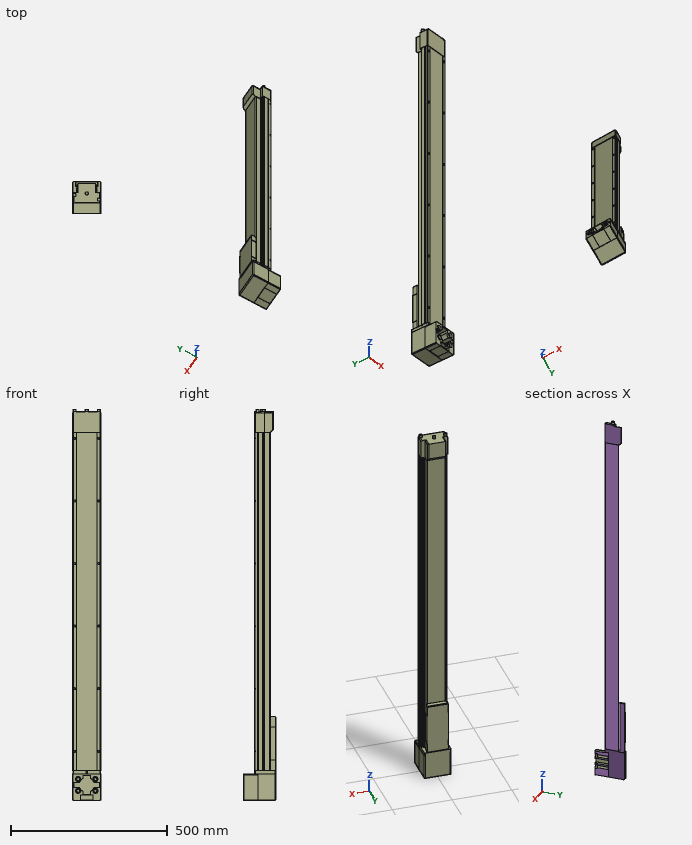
import cadquery as cq

overall_width = 90.0
overall_height = 1248.0
half_width = overall_width / 2
edge_chamfer = 2.0

head_block_top = 85.0
head_top = 96.0
beam_top = 1174.0
cap_top = 1240.0

mount_front = -35.0
seam_y = 11.0
head_back = 69.0
step_y = 32.0

shoulder_y = 25.0
ledge_count = 2
beam_rear_half = 32.0
beam_side_back = 47.0
beam_back = 51.0
beam_front_chamfer = 1.9
beam_rear_chamfer = beam_back - beam_side_back
cover_half = 32.0
cover_recess = 1.0
side_groove_depth = 1.0
side_groove_width = 2.0
strip_hole_diameter = 6.0
strip_hole_depth = 4.0
strip_hole_x = (cover_half + half_width) / 2
strip_hole_pitch = 200.0
strip_hole_count = 6
first_strip_hole_z = 157.0

cap_rear_half = 31.0
cap_back = 61.0
cap_rear_chamfer = 4.0
cap_top_chamfer = 4.0
cap_lip_bottom = 1185.0
bump_diameter = 10.0
bump_places = [(-39.0, 25.0), (0, 30.0), (39.0, 10.0)]

rear_chamfer = 4.0
plate_inset = 0.6
index_hole_diameter = 6.0
index_hole_depth = 6.0

bore_center_z = 50.0
bore_diameter = 49.0
upright_slot_width = 25.0
upright_slot_height = 60.0
level_slot_width = 81.0
level_slot_height = 16.0
screw_x = 27.0
screw_z = 19.0
screw_hole_diameter = 10.0
counterbore_diameter = 16.0
counterbore_depth = 7.0
window_width = 41.0
window_bottom = 2.0
window_top = 17.0

carriage_top = 268.0
carriage_half = 36.0
carriage_end_length = 34.0
carriage_end_inset = 1.0


def box(x, y, z):
    """Block spanning the given (low, high) limits on each axis."""
    corner = (x[0], y[0], z[0])
    return cq.Workplane("XY").box(x[1] - x[0], y[1] - y[0], z[1] - z[0], centered=False).translate(corner)


def bar(half, y, z):
    """Block centred on X = 0 with the given half width."""
    return box((-half, half), y, z)


def front_cylinder(x, z, diameter, front, depth):
    """Cylinder running in +Y from the plane Y = front."""
    plane = cq.Workplane("XZ", origin=(x, front, z))
    return plane.circle(diameter / 2).extrude(-depth)


def make_beam():
    span = (head_top, beam_top)
    front = bar(half_width, (0, shoulder_y), span).edges("|Z and <Y").chamfer(beam_front_chamfer)
    rear = bar(beam_rear_half, (shoulder_y, beam_back), span).edges("|Z and >Y").chamfer(beam_rear_chamfer)
    beam = front.union(rear)
    for step in range(1, ledge_count + 1):
        ledge_half = half_width - step * (half_width - beam_rear_half) / (ledge_count + 1)
        ledge_back = shoulder_y + step * (step_y - shoulder_y) / ledge_count
        beam = beam.union(bar(ledge_half, (shoulder_y, ledge_back), span))
    beam = beam.cut(bar(cover_half, (0, cover_recess), span))
    groove_y = (seam_y - side_groove_width / 2, seam_y + side_groove_width / 2)
    groove_body = bar(half_width, groove_y, span).cut(bar(half_width - side_groove_depth, groove_y, span))
    beam = beam.cut(groove_body)
    for index in range(strip_hole_count):
        z = first_strip_hole_z + index * strip_hole_pitch
        for x in (-strip_hole_x, strip_hole_x):
            beam = beam.cut(front_cylinder(x, z, strip_hole_diameter, 0, strip_hole_depth))
    return beam


def make_end_cap():
    span = (beam_top, cap_top)
    front = bar(half_width, (0, step_y), span).edges("|Z and <Y").chamfer(edge_chamfer)
    rear_profile = [
        (step_y, beam_top),
        (beam_back, beam_top),
        (cap_back, cap_lip_bottom),
        (cap_back, cap_top),
        (step_y, cap_top),
    ]
    rear = cq.Workplane("YZ").polyline(rear_profile).close().extrude(cap_rear_half, both=True)
    rear = rear.edges("|Z and >Y").chamfer(cap_rear_chamfer)
    cap = front.union(rear)
    cap = cap.faces(">Z").edges("|Y").chamfer(cap_top_chamfer)
    bumps = (
        cq.Workplane("XY", origin=(0, 0, beam_top))
        .pushPoints(bump_places)
        .circle(bump_diameter / 2)
        .extrude(overall_height - beam_top)
    )
    return cap.union(bumps)


def make_drive_head():
    block = bar(half_width, (seam_y, head_back), (0, head_block_top))
    block = block.faces(">Y").edges("|Z or <Z").chamfer(rear_chamfer)
    block = block.faces("<Z").edges("|Y").chamfer(edge_chamfer)
    plate = bar(half_width - plate_inset, (0, head_back), (head_block_top, head_top))
    plate = plate.edges("|Z").chamfer(edge_chamfer)
    plate_mid_z = (head_block_top + head_top) / 2
    index_hole = front_cylinder(0, plate_mid_z, index_hole_diameter, 0, index_hole_depth)
    return block.union(plate).cut(index_hole)


def mount_slot(width, height):
    """Slot through the motor mount, centred on its bore."""
    z_range = (bore_center_z - height / 2, bore_center_z + height / 2)
    return bar(width / 2, (mount_front, seam_y), z_range)


def make_motor_mount():
    depth = (mount_front, seam_y)
    mount = bar(half_width, depth, (0, head_block_top)).edges("|Y").chamfer(edge_chamfer)
    bore = front_cylinder(0, bore_center_z, bore_diameter, mount_front, seam_y - mount_front)
    mount = mount.cut(bore)
    mount = mount.cut(mount_slot(upright_slot_width, upright_slot_height))
    mount = mount.cut(mount_slot(level_slot_width, level_slot_height))
    mount = mount.cut(bar(window_width / 2, depth, (window_bottom, window_top)))
    for x in (-screw_x, screw_x):
        for z in (bore_center_z - screw_z, bore_center_z + screw_z):
            mount = mount.cut(front_cylinder(x, z, screw_hole_diameter, mount_front, seam_y - mount_front))
            mount = mount.cut(front_cylinder(x, z, counterbore_diameter, mount_front, counterbore_depth))
    return mount


def make_carriage():
    depth = (beam_back, head_back)
    low_end = head_top + carriage_end_length
    high_end = carriage_top - carriage_end_length
    ends = bar(carriage_half - carriage_end_inset, depth, (head_top, carriage_top))
    ends = ends.faces(">Y").edges("|X").chamfer(edge_chamfer)
    return ends.union(bar(carriage_half, depth, (low_end, high_end)))


beam = make_beam()
end_cap = make_end_cap()
drive_head = make_drive_head()
motor_mount = make_motor_mount()
carriage = make_carriage()

result = cq.Compound.makeCompound(
    [beam.val(), end_cap.val(), drive_head.val(), motor_mount.val(), carriage.val()]
)